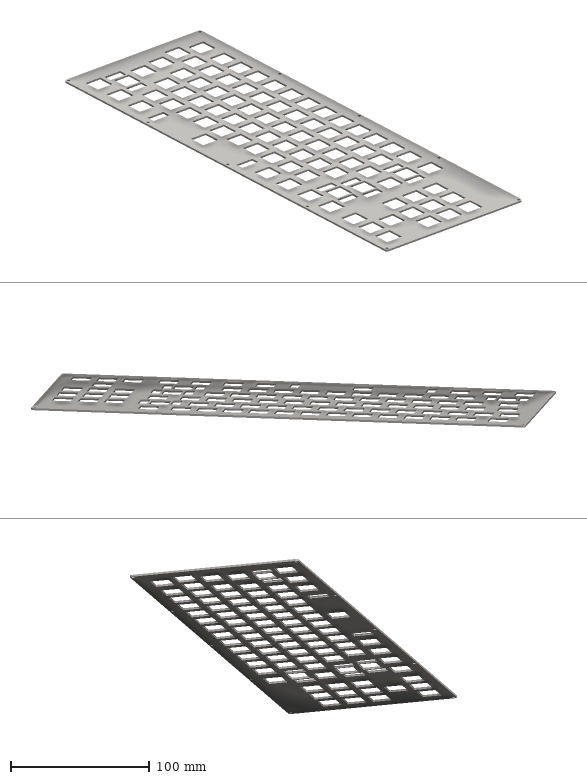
import cadquery as cq

plate_length = 363.5
plate_width = 128.5
plate_thickness = 1.5
corner_radius = 2.0

grid_columns = 18.25
outer_column_span = 328.5
key_unit = outer_column_span / (grid_columns - 1)

web_between_switches = 5.0
switch_size = key_unit - web_between_switches
opening_radius = 0.5

left_border = 11.0
top_border = 10.5
grid_left = -plate_length / 2 + left_border - web_between_switches / 2
top_row_y = plate_width / 2 - top_border - switch_size / 2

slot_width = 7.0
slot_length = 15.0
slot_drop = 1.6
wide_key_slot_offset = 12.0
space_bar_slot_offset = 50.0

screw_diameter = 2.4
screw_inset = 2.0
screw_columns = 5
screw_column_spacing = (plate_length - 2 * screw_inset) / (screw_columns - 1)
screw_row_spacing = plate_width - 2 * screw_inset

main_rows = [
    [1.5] + [1] * 12 + [1.5],
    [1] * 13 + [2],
    [1.5] + [1] * 12 + [1.5],
    [1.75] + [1] * 11 + [2.25],
    [2.25] + [1] * 10 + [2.75],
    [1.25] * 3 + [6.25] + [1.25] * 4,
]
narrowest_stabilized_key = 2
space_bar_width = 6.25

side_block_start = 15.25
side_rows = [[], [0, 1, 2], [0, 1, 2], [0, 1, 2], [1], [0, 1, 2]]


def row_center(row):
    """Y of the middle of a key row, counted from the top."""
    return top_row_y - row * key_unit


def column_center(units):
    """X of a place given in key units from the left of the grid."""
    return grid_left + units * key_unit


def cut_openings(plate, centers, length, width):
    """Cut the same rectangular opening through the plate at every center."""
    opening = cq.Workplane("XY").box(length, width, plate_thickness, centered=(True, True, False))
    opening = opening.edges("|Z").fillet(opening_radius).val()
    openings = cq.Workplane("XY").pushPoints(centers).eachpoint(opening)
    return plate.cut(openings)


switch_centers = []
slot_centers = []
for row, key_widths in enumerate(main_rows):
    y = row_center(row)
    key_start = 0
    for key_width in key_widths:
        x = column_center(key_start + key_width / 2)
        switch_centers.append((x, y))
        if key_width >= narrowest_stabilized_key:
            is_space_bar = key_width == space_bar_width
            offset = space_bar_slot_offset if is_space_bar else wide_key_slot_offset
            slot_centers += [(x - offset, y - slot_drop), (x + offset, y - slot_drop)]
        key_start += key_width

for row, columns in enumerate(side_rows):
    for column in columns:
        switch_centers.append((column_center(side_block_start + column + 0.5), row_center(row)))

plate = cq.Workplane("XY").box(plate_length, plate_width, plate_thickness, centered=(True, True, False))
plate = plate.edges("|Z").fillet(corner_radius)
plate = cut_openings(plate, switch_centers, switch_size, switch_size)
plate = cut_openings(plate, slot_centers, slot_width, slot_length)

screws = (
    cq.Workplane("XY")
    .rarray(screw_column_spacing, screw_row_spacing, screw_columns, 2)
    .circle(screw_diameter / 2)
    .extrude(plate_thickness)
)
result = plate.cut(screws)